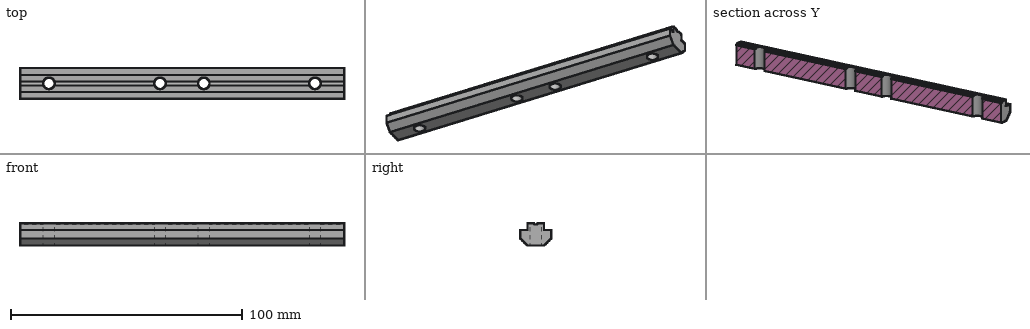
import cadquery as cq

length = 140.0
width = 13.5
height = 9.7

head_width = 7.3
head_height = 3.0
bevel = 3.1
groove_width = 1.7
groove_depth = 0.5

hole_diameter = 4.9
pattern_center_x = -0.1
outer_hole_spacing = 115.0
inner_hole_spacing = 18.9

half_width = width / 2
half_head = head_width / 2
half_foot = half_width - bevel
half_groove = groove_width / 2
top_z = height / 2
bottom_z = -top_z
shoulder_z = top_z - head_height
bevel_z = bottom_z + bevel


def make_bar():
    """T-slot bar along X, with a shallow round groove along the top of its head."""
    return (
        cq.Workplane("YZ", origin=(-length / 2, 0, 0))
        .moveTo(-half_foot, bottom_z)
        .lineTo(half_foot, bottom_z)
        .lineTo(half_width, bevel_z)
        .lineTo(half_width, shoulder_z)
        .lineTo(half_head, shoulder_z)
        .lineTo(half_head, top_z)
        .lineTo(half_groove, top_z)
        .threePointArc((0, top_z - groove_depth), (-half_groove, top_z))
        .lineTo(-half_head, top_z)
        .lineTo(-half_head, shoulder_z)
        .lineTo(-half_width, shoulder_z)
        .lineTo(-half_width, bevel_z)
        .close()
        .extrude(length)
    )


def make_hole_cutters():
    """Vertical cylinders for all the holes, through the full height."""
    centers = [
        (pattern_center_x + side * spacing / 2, 0)
        for spacing in (outer_hole_spacing, inner_hole_spacing)
        for side in (-1, 1)
    ]
    return (
        cq.Workplane("XY", origin=(0, 0, bottom_z))
        .pushPoints(centers)
        .circle(hole_diameter / 2)
        .extrude(height)
    )


result = make_bar().cut(make_hole_cutters())